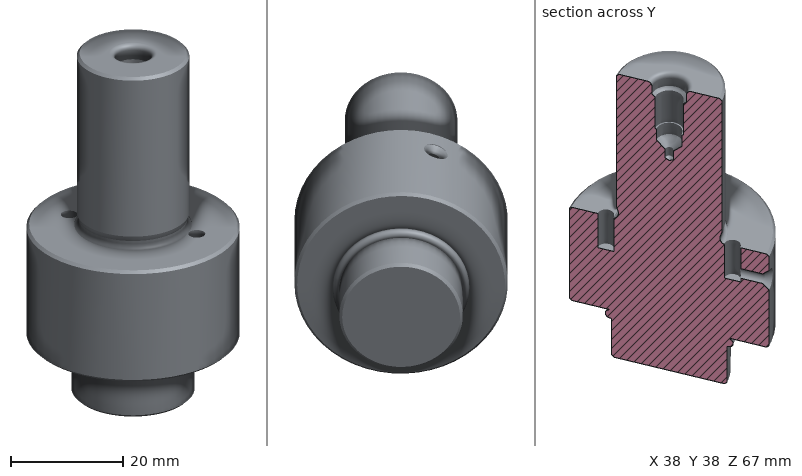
import cadquery as cq
import math

total_height = 67.0
body_bottom = 11.0
body_top = 33.0

shaft_diameter = 20.0
body_diameter = 38.0
spigot_diameter = 22.0

edge_chamfer = 0.5

neck_diameter = 19.4
neck_bottom = 33.9
neck_top = 34.5
taper_top = 35.5
undercut_diameter = 20.9
undercut_depth = 0.2

ring_thickness = 2.0
ring_centre_diameter = 22.3

mouth_diameter = 8.45
counterbore_diameter = 6.5
counterbore_depth = 2.8
thread_diameter = 5.2
thread_depth = 10.7
core_diameter = 4.75
core_depth = 13.4
pilot_diameter = 1.5
pilot_length = 2.0
step_half_angle = 52.0
drill_half_angle = 45.0
tip_half_angle = 60.0

pin_hole_diameter = 3.0
pin_hole_offset = 12.0
pin_hole_depth = 8.05

side_hole_diameter = 2.15
side_sink_diameter = 4.4
side_sink_half_angle = 45.0
side_hole_height = 26.95


def revolve_about_z(profile):
    """Turn a closed (radius, height) profile into a solid about the Z axis."""
    return profile.close().revolve(360, (0, 0, 0), (0, 1, 0))


def cone_depth(large_diameter, small_diameter, half_angle):
    """Axial length of a cone between two diameters."""
    return (large_diameter - small_diameter) / 2 / math.tan(math.radians(half_angle))


def turned_body():
    """Spigot, body, undercut neck and shaft as one revolved profile."""
    shaft_r = shaft_diameter / 2
    body_r = body_diameter / 2
    spigot_r = spigot_diameter / 2
    neck_r = neck_diameter / 2
    undercut_r = undercut_diameter / 2
    fillet_r = neck_bottom - body_top + undercut_depth
    arc_offset = fillet_r * math.sqrt(0.5)
    centre_x = neck_r + fillet_r
    end_drop = math.sqrt(fillet_r**2 - (undercut_r - centre_x) ** 2)
    profile = (
        cq.Workplane("XZ")
        .lineTo(spigot_r - edge_chamfer, 0)
        .lineTo(spigot_r, edge_chamfer)
        .lineTo(spigot_r, body_bottom)
        .lineTo(body_r - edge_chamfer, body_bottom)
        .lineTo(body_r, body_bottom + edge_chamfer)
        .lineTo(body_r, body_top - edge_chamfer)
        .lineTo(body_r - edge_chamfer, body_top)
        .lineTo(undercut_r, body_top)
        .lineTo(undercut_r, neck_bottom - end_drop)
        .threePointArc((centre_x - arc_offset, neck_bottom - arc_offset), (neck_r, neck_bottom))
        .lineTo(neck_r, neck_top)
        .lineTo(shaft_r, taper_top)
        .lineTo(shaft_r, total_height - edge_chamfer)
        .lineTo(shaft_r - edge_chamfer, total_height)
        .lineTo(0, total_height)
    )
    return revolve_about_z(profile)


def sealing_ring():
    """Round-section ring touching the underside of the body."""
    section = (
        cq.Workplane("XZ")
        .moveTo(-ring_centre_diameter / 2, body_bottom - ring_thickness / 2)
        .circle(ring_thickness / 2)
    )
    return section.revolve(360, (0, 0, 0), (0, 1, 0))


def centre_hole():
    """Round-mouthed stepped hole in the shaft end."""
    mouth_r = mouth_diameter / 2
    counterbore_r = counterbore_diameter / 2
    thread_r = thread_diameter / 2
    core_r = core_diameter / 2
    pilot_r = pilot_diameter / 2
    lip_r = mouth_r - counterbore_r
    lip_mid = lip_r * (1 - math.sqrt(0.5))
    step_z = total_height - counterbore_depth
    thread_top = step_z - cone_depth(counterbore_diameter, thread_diameter, step_half_angle)
    thread_bottom = total_height - thread_depth
    core_bottom = total_height - core_depth
    pilot_top = core_bottom - cone_depth(core_diameter, pilot_diameter, drill_half_angle)
    pilot_bottom = pilot_top - pilot_length
    tip_z = pilot_bottom - cone_depth(pilot_diameter, 0, tip_half_angle)
    profile = (
        cq.Workplane("XZ")
        .moveTo(0, total_height)
        .lineTo(mouth_r, total_height)
        .threePointArc(
            (counterbore_r + lip_mid, total_height - lip_mid),
            (counterbore_r, total_height - lip_r),
        )
        .lineTo(counterbore_r, step_z)
        .lineTo(thread_r, thread_top)
        .lineTo(thread_r, thread_bottom)
        .lineTo(core_r, thread_bottom)
        .lineTo(core_r, core_bottom)
        .lineTo(pilot_r, pilot_top)
        .lineTo(pilot_r, pilot_bottom)
        .lineTo(0, tip_z)
    )
    return revolve_about_z(profile)


def pin_holes():
    """Two blind holes in the body's upper face, one on each side of the shaft."""
    return (
        cq.Workplane("XY", origin=(0, 0, body_top))
        .pushPoints([(-pin_hole_offset, 0), (pin_hole_offset, 0)])
        .circle(pin_hole_diameter / 2)
        .extrude(-pin_hole_depth)
    )


def side_hole():
    """Countersunk hole along +X that ends in the pin hole."""
    body_r = body_diameter / 2
    sink_r = side_sink_diameter / 2
    hole_r = side_hole_diameter / 2
    hole_length = body_r - pin_hole_offset
    sink_start = body_r - math.sqrt(body_r**2 - sink_r**2)
    sink_end = sink_start + cone_depth(side_sink_diameter, side_hole_diameter, side_sink_half_angle)
    profile = (
        cq.Workplane("XZ", origin=(-body_r, 0, side_hole_height))
        .lineTo(0, sink_r)
        .lineTo(sink_start, sink_r)
        .lineTo(sink_end, hole_r)
        .lineTo(hole_length, hole_r)
        .lineTo(hole_length, 0)
        .close()
    )
    return profile.revolve(360, (0, 0, 0), (1, 0, 0))


result = turned_body().union(sealing_ring()).cut(centre_hole()).cut(pin_holes()).cut(side_hole())